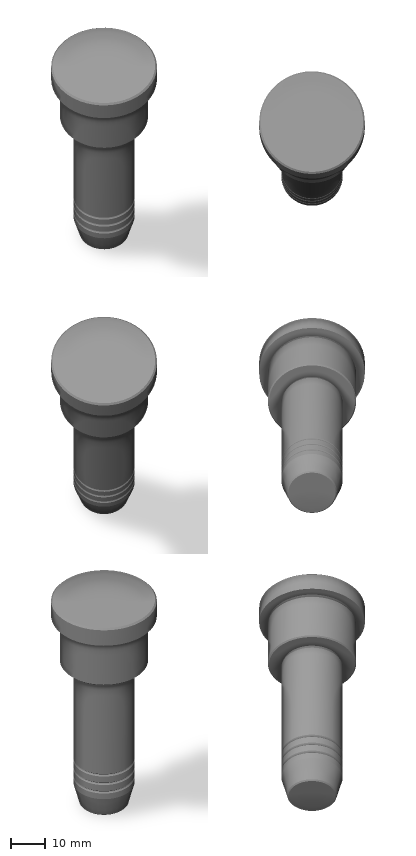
import cadquery as cq

total_length = 72.0
head_chamfer = 0.5
edge_chamfer = 0.35

head_diameter = 31.0
head_radius = head_diameter / 2
head_height = 6.0
body_radius = 12.95
body_depth = 21.95
undercut_depth = 0.5
undercut_upper = 0.35
undercut_height = 1.0

shaft_radius = 9.0
neck_radius = 8.65
neck_height = 1.1

groove_count = 3
groove_pitch = 3.0
lowest_groove = 9.4
groove_depth = 0.4
groove_half_width = 0.4

taper_height = 7.0
tip_radius = 7.3

head_bottom = total_length - head_height
body_bottom = total_length - body_depth
shaft_top = body_bottom - neck_height


def revolve(outline):
    """Turn a closed (radius, height) outline about the Z axis."""
    return cq.Workplane("XZ").polyline(outline).close().revolve(360, (0, 0, 0), (0, 1, 0))


def v_groove(center_height):
    """Ring cutter with its point inside the shaft surface."""
    return revolve([
        (shaft_radius, center_height - groove_half_width),
        (shaft_radius - groove_depth, center_height),
        (shaft_radius, center_height + groove_half_width),
    ])


result = revolve([
    (0, 0),
    (tip_radius - edge_chamfer, 0),
    (tip_radius, edge_chamfer),
    (shaft_radius, taper_height),
    (shaft_radius, shaft_top),
    (neck_radius, shaft_top),
    (neck_radius, body_bottom),
    (body_radius - edge_chamfer, body_bottom),
    (body_radius, body_bottom + edge_chamfer),
    (body_radius, head_bottom - undercut_height),
    (body_radius - undercut_depth, head_bottom - undercut_upper),
    (body_radius - undercut_depth + undercut_upper, head_bottom),
    (head_radius, head_bottom),
    (head_radius, total_length - head_chamfer),
    (head_radius - head_chamfer, total_length),
    (0, total_length),
])

for index in range(groove_count):
    result = result.cut(v_groove(lowest_groove + index * groove_pitch))